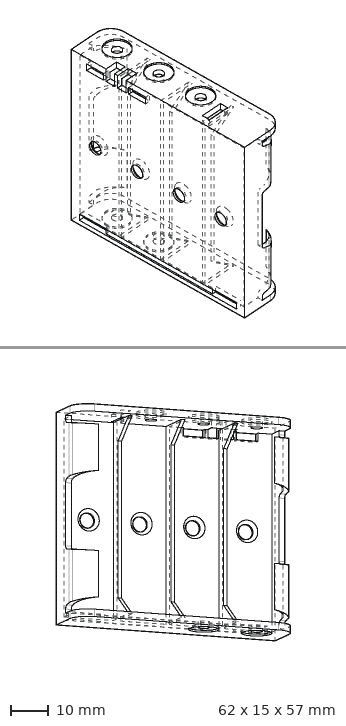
import cadquery as cq
import math


width = 62.0
depth = 15.0
height = 57.0

wall = 1.6
end_plate = 2.0
plate_corner_radius = 5.0
cell_count = 4
divider = 1.0
cell_width = (width - 2 * wall - (cell_count - 1) * divider) / cell_count
cell_radius = cell_width / 2
cell_pitch = cell_width + divider
cell_axis_y = 8.5
cell_xs = [(i - (cell_count - 1) / 2) * cell_pitch for i in range(cell_count)]
divider_xs = [x + cell_pitch / 2 for x in cell_xs[:-1]]

shoulder_y = 9.5
shoulder_rise = 1.1
shoulder_radius = 1.7
curl_radius = 10.8

divider_top = 5.0
gusset_top = 12.65
gusset_slope = 0.72

cutout_floor_y = 6.9
cutout_taper = 1.4
cutout_corner_radius = 1.0
middle_cutout_half = 9.3
end_cutout_length = 1.9

floor_hole_diameter = 4.0
floor_hole_land = 0.6
terminal_hole_diameter = 3.0
terminal_recess_diameter = 8.0
terminal_recess_depth = 0.5
top_terminal_count = 3
bottom_terminal_count = 2

wire_slot_bottom = 4.15
wire_slot_inner = 4.45
wire_slot_length = 6.1
wire_notch_inner = 0.55
wire_notch_width = 3.05
wire_notch_depth = 4.1

tab_slot_width = 2.6
tab_slot_y_min = 2.5
tab_slot_y_max = 9.5

strap_half_length = 28.1
strap_middle_half_length = 19.05
strap_z_min = 1.5
strap_z_max = 3.5
strap_groove_depth = 0.5

top_plate_z = height - end_plate


def box(x_range, y_range, z_range):
    """Box between opposite limits on each axis."""
    size = [limits[1] - limits[0] for limits in (x_range, y_range, z_range)]
    corner = (x_range[0], y_range[0], z_range[0])
    return cq.Workplane("XY").box(*size, centered=False).translate(corner)


def cylinder_z(diameter, x, y, z_min, z_max):
    """Round bar parallel to Z."""
    plane = cq.Workplane("XY", origin=(x, y, z_min))
    return plane.circle(diameter / 2).extrude(z_max - z_min)


def side_profile(points, x_start, length):
    """Plate with a (Y, Z) outline, extruded along +X."""
    return cq.Workplane("YZ", origin=(x_start, 0, 0)).polyline(points).close().extrude(length)


def make_end_plate(z_min):
    plate = box((-width / 2, width / 2), (0, depth), (z_min, z_min + end_plate))
    return plate.edges("|Z and >Y").fillet(plate_corner_radius)


def make_cutout(points):
    """Tapered cutter through the left wall, rounded at the corners on its floor."""
    cutter = side_profile(points, -width / 2, width / 2 + cell_xs[0])
    return cutter.edges("|X and <Y").fillet(cutout_corner_radius)


def make_left_wall():
    """Side wall whose upper part curls over the cell and ends in a thin lip."""
    outer_x = -width / 2
    inner_x = outer_x + wall
    shoulder_inset = shoulder_radius - math.sqrt(shoulder_radius**2 - shoulder_rise**2)
    tip_angle = math.asin((depth - cell_axis_y) / cell_radius)
    tip_x = cell_xs[0] - cell_radius * math.cos(tip_angle)
    curl_middle = (
        cell_xs[0] - cell_radius * math.cos(tip_angle / 2),
        cell_axis_y + cell_radius * math.sin(tip_angle / 2),
    )
    side = (
        cq.Workplane("XY")
        .moveTo(inner_x, 0)
        .lineTo(outer_x, 0)
        .lineTo(outer_x, shoulder_y)
        .radiusArc((outer_x + shoulder_inset, shoulder_y + shoulder_rise), shoulder_radius)
        .radiusArc((tip_x, depth), curl_radius)
        .threePointArc(curl_middle, (inner_x, cell_axis_y))
        .close()
        .extrude(height)
    )
    mid_z = height / 2
    middle_tip = middle_cutout_half + cutout_taper
    middle = make_cutout([
        (cutout_floor_y, mid_z - middle_cutout_half),
        (depth, mid_z - middle_tip),
        (depth, mid_z + middle_tip),
        (cutout_floor_y, mid_z + middle_cutout_half),
    ])
    end_z = end_plate + end_cutout_length
    bottom = make_cutout([
        (cutout_floor_y, 0),
        (depth, 0),
        (depth, end_z + cutout_taper),
        (cutout_floor_y, end_z),
    ])
    top = bottom.mirror("XY", (0, 0, mid_z))
    return side.cut(middle).cut(bottom).cut(top)


def make_divider(x):
    gusset_length = (gusset_top - divider_top) * gusset_slope
    outline = [
        (0, end_plate),
        (gusset_top, end_plate),
        (divider_top, end_plate + gusset_length),
        (divider_top, top_plate_z - gusset_length),
        (gusset_top, top_plate_z),
        (0, top_plate_z),
    ]
    return side_profile(outline, x - divider / 2, divider)


def cut_floor_holes(body):
    radius = floor_hole_diameter / 2
    head_radius = radius + wall - floor_hole_land
    half_outline = [(0, 0), (radius, 0), (radius, floor_hole_land), (head_radius, wall), (0, wall)]
    hole = cq.Workplane("XY").polyline(half_outline).close().revolve(360, (0, 0), (0, 1))
    for x in cell_xs:
        body = body.cut(hole.translate((x, 0, height / 2)))
    return body


def cut_terminals(body):
    for x in cell_xs[:top_terminal_count]:
        recess_floor = height - terminal_recess_depth
        body = body.cut(cylinder_z(terminal_recess_diameter, x, cell_axis_y, recess_floor, height))
        body = body.cut(cylinder_z(terminal_hole_diameter, x, cell_axis_y, top_plate_z, height))
    for x in cell_xs[:bottom_terminal_count]:
        body = body.cut(cylinder_z(terminal_recess_diameter, x, cell_axis_y, 0, terminal_recess_depth))
        body = body.cut(cylinder_z(terminal_hole_diameter, x, cell_axis_y, 0, end_plate))
    return body


def cut_wire_exits(body):
    slot_z = (height - wire_slot_bottom, top_plate_z)
    for side in (-1, 1):
        notch_near = divider_xs[0] + side * wire_notch_inner
        notch_x = sorted((notch_near, notch_near + side * wire_notch_width))
        slot_near = divider_xs[0] + side * wire_slot_inner
        slot_x = sorted((slot_near, slot_near + side * wire_slot_length))
        body = body.cut(box(notch_x, (0, wire_notch_depth), (slot_z[0], height)))
        body = body.cut(box(slot_x, (0, wall), slot_z))
    return body


def cut_tab_slot(body):
    slot_x = (divider_xs[-1] - tab_slot_width / 2, divider_xs[-1] + tab_slot_width / 2)
    return body.cut(box(slot_x, (tab_slot_y_min, tab_slot_y_max), (top_plate_z, height)))


def cut_strap_groove(body):
    strap_z = (strap_z_min, strap_z_max)
    groove = box((-strap_half_length, strap_half_length), (0, strap_groove_depth), strap_z)
    left = box((-strap_half_length, -strap_middle_half_length), (0, wall), strap_z)
    right = left.mirror("YZ")
    return body.cut(groove).cut(left).cut(right)


left_wall = make_left_wall()
body = box((-width / 2, width / 2), (0, wall), (0, height))
body = body.union(left_wall).union(left_wall.mirror("YZ"))
body = body.union(make_end_plate(0)).union(make_end_plate(top_plate_z))
for divider_x in divider_xs:
    body = body.union(make_divider(divider_x))

body = cut_floor_holes(body)
body = cut_terminals(body)
body = cut_wire_exits(body)
body = cut_tab_slot(body)
result = cut_strap_groove(body)